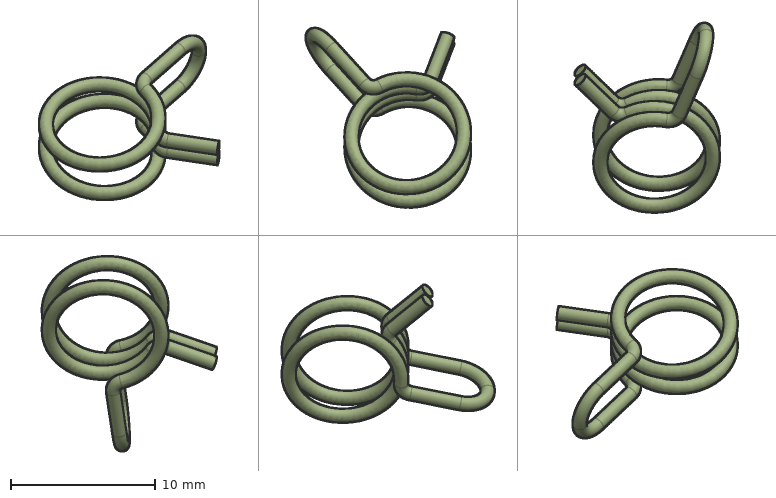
import cadquery as cq
import math


wire_diameter = 1.0
coil_radius = 3.9
coil_pitch = 1.3
loop_radius = 2.0
leg_reach = 8.2
loop_leg_angle = 120.0
free_leg_angle = 60.0
bend_span = 10.0

wire_radius = wire_diameter / 2
coil_start_angle = free_leg_angle + bend_span
coil_end_angle = loop_leg_angle - bend_span
coil_turns = 1 + (coil_end_angle - coil_start_angle) / 360
coil_rise = coil_pitch * coil_turns
outer_leg_height = loop_radius
inner_leg_height = outer_leg_height - coil_rise

span_sine = math.sin(math.radians(bend_span))
bend_radius = coil_radius * span_sine / (1 - span_sine)
bend_center_radius = coil_radius + bend_radius
leg_start = bend_center_radius * math.cos(math.radians(bend_span))


def polar(radius, angle, height):
    """Point at a radius and angle about the coil axis."""
    turn = math.radians(angle)
    return cq.Vector(radius * math.cos(turn), radius * math.sin(turn), height)


def sweep_wire(path, start, direction):
    """Round wire swept along a path from its start point."""
    section = cq.Workplane(cq.Plane(origin=start, normal=direction)).circle(wire_radius)
    return section.sweep(cq.Workplane(obj=path), isFrenet=True)


def make_coil():
    """Upper coil, rising counter-clockwise from the free leg to the loop leg."""
    helix = cq.Wire.makeHelix(coil_pitch, coil_rise, coil_radius)
    path = helix.rotate(cq.Vector(0, 0, 0), cq.Vector(0, 0, 1), coil_start_angle)
    path = path.translate(cq.Vector(0, 0, inner_leg_height))
    start = polar(coil_radius, coil_start_angle, inner_leg_height)
    tangent = polar(1, coil_start_angle + 90, 0)
    return sweep_wire(path, start, tangent)


def make_bent_leg(leg_angle, coil_angle, height):
    """Straight radial leg with the bend that carries it onto the coil."""
    tip = polar(leg_reach, leg_angle, height)
    bend_start = polar(leg_start, leg_angle, height)
    bend_end = polar(coil_radius, coil_angle, height)
    bend_center = polar(bend_center_radius, coil_angle, height)
    toward_middle = (bend_start + bend_end) * 0.5 - bend_center
    bend_middle = bend_center + toward_middle.normalized() * bend_radius

    leg = cq.Edge.makeLine(tip, bend_start)
    bend = cq.Edge.makeThreePointArc(bend_start, bend_middle, bend_end)
    return sweep_wire(cq.Wire.assembleEdges([leg, bend]), tip, bend_start - tip)


def make_half_loop():
    """Upper quarter turn of the U loop, from the outer leg down to the XY plane."""
    start = polar(leg_reach, loop_leg_angle, outer_leg_height)
    diagonal = loop_radius * math.sqrt(0.5)
    middle = polar(leg_reach + diagonal, loop_leg_angle, diagonal)
    end = polar(leg_reach + loop_radius, loop_leg_angle, 0)
    arc = cq.Edge.makeThreePointArc(start, middle, end)
    return sweep_wire(cq.Wire.assembleEdges([arc]), start, polar(1, loop_leg_angle, 0))


upper_half = (
    make_coil()
    .union(make_bent_leg(free_leg_angle, coil_start_angle, inner_leg_height))
    .union(make_bent_leg(loop_leg_angle, coil_end_angle, outer_leg_height))
    .union(make_half_loop())
)

result = upper_half.union(upper_half.mirror("XY"))